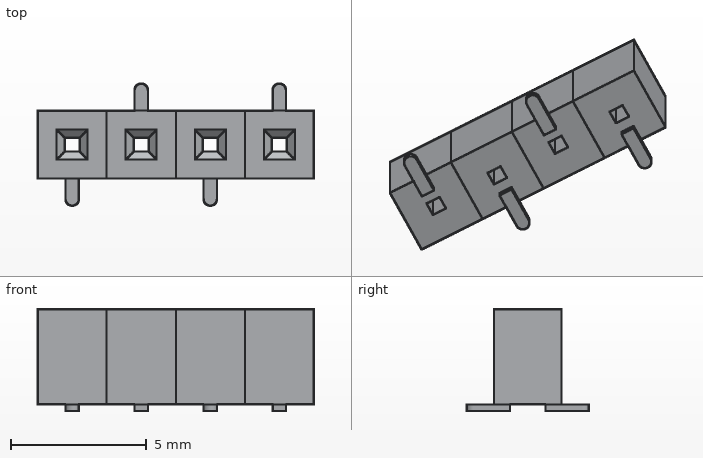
import cadquery as cq

POSITIONS = 4
PITCH = 2.54
HOUSING_DEPTH = 2.5
HOUSING_HEIGHT = 3.5

HOLE_WALL = 1.0
LEAD_IN_DEPTH = 0.3
RIM_WALL = HOLE_WALL - LEAD_IN_DEPTH

TAIL_WIDTH = 0.5
TAIL_THICKNESS = 0.25
TAIL_INNER_END = 0.65
TAIL_OUTER_END = 2.25


def opening_size(wall):
    """X and Y size of the opening that leaves the given wall all around."""
    return PITCH - 2 * wall, HOUSING_DEPTH - 2 * wall


def make_housing(x_center):
    """One socket block standing on Z = 0, open from top to bottom."""
    block = cq.Workplane("XY").box(PITCH, HOUSING_DEPTH, HOUSING_HEIGHT, centered=(True, True, False))
    hole = cq.Workplane("XY").rect(*opening_size(HOLE_WALL)).extrude(HOUSING_HEIGHT)
    lead_in = (
        cq.Workplane("XY")
        .workplane(offset=HOUSING_HEIGHT - LEAD_IN_DEPTH)
        .rect(*opening_size(HOLE_WALL))
        .workplane(offset=LEAD_IN_DEPTH)
        .rect(*opening_size(RIM_WALL))
        .loft(ruled=True)
    )
    return block.cut(hole).cut(lead_in).translate((x_center, 0, 0))


def make_tail(x_center, side):
    """One flat tail with a round tip below Z = 0, pointing to +Y (side = 1) or -Y (side = -1)."""
    half_width = TAIL_WIDTH / 2
    shoulder = TAIL_OUTER_END - half_width
    return (
        cq.Workplane("XY")
        .moveTo(x_center - half_width, side * TAIL_INNER_END)
        .lineTo(x_center - half_width, side * shoulder)
        .threePointArc((x_center, side * TAIL_OUTER_END), (x_center + half_width, side * shoulder))
        .lineTo(x_center + half_width, side * TAIL_INNER_END)
        .close()
        .extrude(-TAIL_THICKNESS)
    )


bodies = []
for index in range(POSITIONS):
    x_center = (index - (POSITIONS - 1) / 2) * PITCH
    side = -1 if index % 2 == 0 else 1
    bodies.append(make_housing(x_center).val())
    bodies.append(make_tail(x_center, side).val())

result = cq.Compound.makeCompound(bodies)